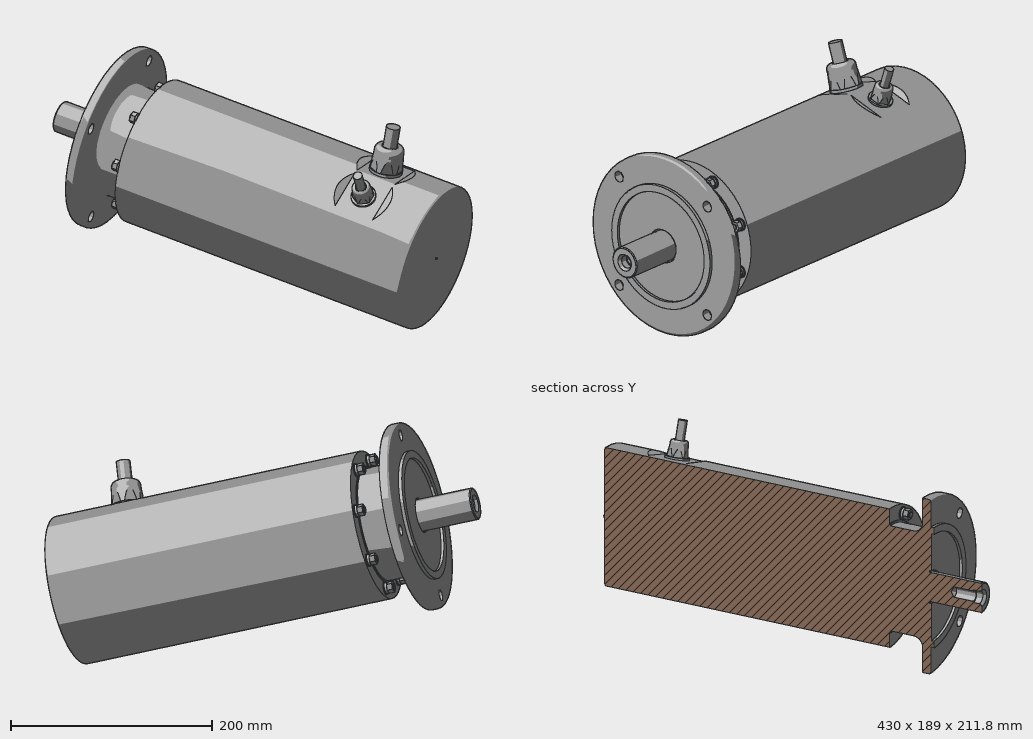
import cadquery as cq
import math

overall_length = 430.0
spigot_face_x = 54.5
flange_face_x = 58.0
flange_rear_x = 68.0
collar_face_x = 104.0
housing_front_x = 105.0
nub_length = 1.0
housing_rear_x = overall_length - nub_length

shaft_diameter = 32.0
shaft_chamfer = 1.0
seal_gap_diameter = 35.0
seal_gap_depth = 2.0
spigot_diameter = 130.0
spigot_recess_diameter = 115.0
spigot_recess_depth = 3.0
flange_diameter = 189.0
flange_front_radius = 3.0
flange_rear_radius = 1.0
neck_diameter = 114.0
neck_fillet_radius = 10.0
collar_diameter = 118.0
housing_diameter = 150.0
housing_rear_radius = 2.5
nub_diameter = 2.0

centre_mouth_diameter = 17.5
centre_mouth_depth = 3.0
centre_counterbore_diameter = 13.0
centre_counterbore_depth = 10.0
centre_bore_diameter = 10.58
centre_bore_depth = 32.0
drill_point_angle = 120.0

mounting_hole_diameter = 11.0
mounting_hole_count = 4
mounting_circle_diameter = 165.0

screw_count = 8
screw_circle_diameter = 132.0
washer_diameter = 13.0
washer_thickness = 1.0
nut_flange_diameter = 11.5
nut_flange_thickness = 2.5
screw_head_flats = 10.0
screw_head_height = 5.5
stud_diameter = 6.0
stud_tip_length = 1.2

gland_x = 359.0
gland_tilt = 18.0
gland_seat_height = 72.1
gland_seat_length = 43.0
seat_ramp_angle = 20.0
pocket_clearance = 1.0

nut_turn = 30.0
cable_mouth_depth = 1.5

housing_radius = housing_diameter / 2


def polar_points(count, circle_diameter):
    """Points evenly spaced on a circle, with the first half a step off the axis."""
    step = 2 * math.pi / count
    radius = circle_diameter / 2
    angles = [(i + 0.5) * step for i in range(count)]
    return [(radius * math.cos(a), radius * math.sin(a)) for a in angles]


def x_cylinder(start_x, end_x, diameter):
    return cq.Workplane("YZ", origin=(start_x, 0, 0)).circle(diameter / 2).extrude(end_x - start_x)


def make_shaft():
    shaft = x_cylinder(0, flange_rear_x, shaft_diameter)
    return shaft.faces("<X").chamfer(shaft_chamfer)


def make_centre_hole():
    """Solid of the shaft's centre hole: conical mouth, counterbore, bore and drill point."""
    bore_radius = centre_bore_diameter / 2
    counterbore_radius = centre_counterbore_diameter / 2
    point_length = bore_radius / math.tan(math.radians(drill_point_angle / 2))
    outline = [
        (0, 0),
        (0, centre_mouth_diameter / 2),
        (centre_mouth_depth, counterbore_radius),
        (centre_counterbore_depth, counterbore_radius),
        (centre_counterbore_depth, bore_radius),
        (centre_bore_depth, bore_radius),
        (centre_bore_depth + point_length, 0),
    ]
    return cq.Workplane("XY").polyline(outline).close().revolve(360, (0, 0, 0), (1, 0, 0))


def make_flange():
    flange = x_cylinder(flange_face_x, flange_rear_x, flange_diameter)
    flange = flange.faces("<X").edges().fillet(flange_front_radius)
    flange = flange.faces(">X").edges().fillet(flange_rear_radius)
    spigot = x_cylinder(spigot_face_x, flange_face_x, spigot_diameter)
    recess_floor_x = spigot_face_x + spigot_recess_depth
    recess = x_cylinder(spigot_face_x, recess_floor_x, spigot_recess_diameter)
    seal_gap = x_cylinder(recess_floor_x, recess_floor_x + seal_gap_depth, seal_gap_diameter)
    holes = (
        cq.Workplane("YZ", origin=(flange_face_x, 0, 0))
        .pushPoints(polar_points(mounting_hole_count, mounting_circle_diameter))
        .circle(mounting_hole_diameter / 2)
        .extrude(flange_rear_x - flange_face_x)
    )
    return flange.union(spigot).cut(recess).cut(seal_gap).cut(holes)


def make_neck():
    """Neck between flange and housing, flaring into the flange with a concave fillet."""
    neck_radius = neck_diameter / 2
    flare_end_x = flange_rear_x + neck_fillet_radius
    flare_radius = neck_radius + neck_fillet_radius
    diagonal = neck_fillet_radius * math.sqrt(0.5)
    flare_middle = (flare_end_x - diagonal, flare_radius - diagonal)
    return (
        cq.Workplane("XY")
        .moveTo(flange_rear_x, 0)
        .lineTo(flange_rear_x, flare_radius)
        .threePointArc(flare_middle, (flare_end_x, neck_radius))
        .lineTo(collar_face_x, neck_radius)
        .lineTo(collar_face_x, 0)
        .close()
        .revolve(360, (0, 0, 0), (1, 0, 0))
    )


def make_screws():
    """All screws around the housing, each stacked from the stud tip back to the housing face."""
    corner_diameter = screw_head_flats / math.cos(math.pi / 6)
    washer_x = housing_front_x - washer_thickness
    flange_x = washer_x - nut_flange_thickness
    head_x = flange_x - screw_head_height
    tip_x = head_x - stud_tip_length

    def screw_points(start_x):
        points = polar_points(screw_count, screw_circle_diameter)
        return cq.Workplane("YZ", origin=(start_x, 0, 0)).pushPoints(points)

    tips = screw_points(tip_x).circle(stud_diameter / 2).extrude(stud_tip_length)
    heads = screw_points(head_x).polygon(6, corner_diameter).extrude(screw_head_height)
    flanges = screw_points(flange_x).circle(nut_flange_diameter / 2).extrude(nut_flange_thickness)
    washers = screw_points(washer_x).circle(washer_diameter / 2).extrude(washer_thickness)
    return washers.union(flanges).union(heads).union(tips)


def place_on_housing(shape, tilt):
    """Move a shape standing at the origin to the gland station, tilted about the motor axis."""
    return shape.translate((gland_x, 0, gland_seat_height)).rotate((0, 0, 0), (1, 0, 0), tilt)


def make_gland_pocket():
    """Flat-bottomed cut across the housing with a ramp at each end along X."""
    depth = housing_radius - gland_seat_height + pocket_clearance
    ramp_length = depth / math.tan(math.radians(seat_ramp_angle))
    half_floor = gland_seat_length / 2
    half_mouth = half_floor + ramp_length
    outline = [(-half_floor, 0), (half_floor, 0), (half_mouth, depth), (-half_mouth, depth)]
    return cq.Workplane("XZ").polyline(outline).close().extrude(housing_radius, both=True)


def make_motor():
    housing = x_cylinder(housing_front_x, housing_rear_x, housing_diameter)
    housing = housing.faces(">X").edges().fillet(housing_rear_radius)
    for tilt in (-gland_tilt, gland_tilt):
        housing = housing.cut(place_on_housing(make_gland_pocket(), tilt))
    collar = x_cylinder(collar_face_x, housing_front_x, collar_diameter)
    nub = x_cylinder(housing_rear_x, overall_length, nub_diameter)
    motor = make_flange().union(make_neck()).union(collar).union(housing).union(nub)
    return motor.union(make_screws()).union(make_shaft()).cut(make_centre_hole())


def make_gland(base_diameter, base_height, nut_diameter, nut_flats, flats_height,
               cap_diameter, cap_height, cap_radius, mouth_diameter,
               cable_diameter, cable_height):
    """Cable gland standing on Z = 0: base disc, tapered nut with flats, round cap and cable."""
    base = cq.Workplane("XY").circle(base_diameter / 2).extrude(base_height)
    nut_outline = [
        (0, 0),
        (nut_diameter / 2, 0),
        (nut_diameter / 2, base_height),
        (cap_diameter / 2, flats_height),
        (0, flats_height),
    ]
    nut = cq.Workplane("XZ").polyline(nut_outline).close().revolve(360, (0, 0, 0), (0, 1, 0))
    corner_diameter = nut_flats / math.cos(math.pi / 6)
    hexagon = cq.Workplane("XY").polygon(6, corner_diameter).extrude(flats_height)
    nut = nut.intersect(hexagon.rotate((0, 0, 0), (0, 0, 1), nut_turn))
    cap = cq.Workplane("XY", origin=(0, 0, flats_height)).circle(cap_diameter / 2)
    cap = cap.extrude(cap_height - flats_height).faces(">Z").edges().fillet(cap_radius)
    mouth = cq.Workplane("XY", origin=(0, 0, cap_height - cable_mouth_depth))
    mouth = mouth.circle(mouth_diameter / 2).extrude(cable_mouth_depth)
    cable = cq.Workplane("XY").circle(cable_diameter / 2).extrude(cable_height)
    return base.union(nut).union(cap).cut(mouth).union(cable)


motor = make_motor()

power_gland = place_on_housing(make_gland(
    base_diameter=33.5, base_height=3.0, nut_diameter=33.0, nut_flats=30.4, flats_height=19.0,
    cap_diameter=30.0, cap_height=28.0, cap_radius=5.5,
    mouth_diameter=16.0, cable_diameter=14.0, cable_height=49.0,
), -gland_tilt)

signal_gland = place_on_housing(make_gland(
    base_diameter=25.0, base_height=2.0, nut_diameter=21.5, nut_flats=19.2, flats_height=13.5,
    cap_diameter=18.5, cap_height=18.8, cap_radius=2.75,
    mouth_diameter=11.0, cable_diameter=9.0, cable_height=39.0,
), gland_tilt)

result = cq.Compound.makeCompound([motor.val(), power_gland.val(), signal_gland.val()])